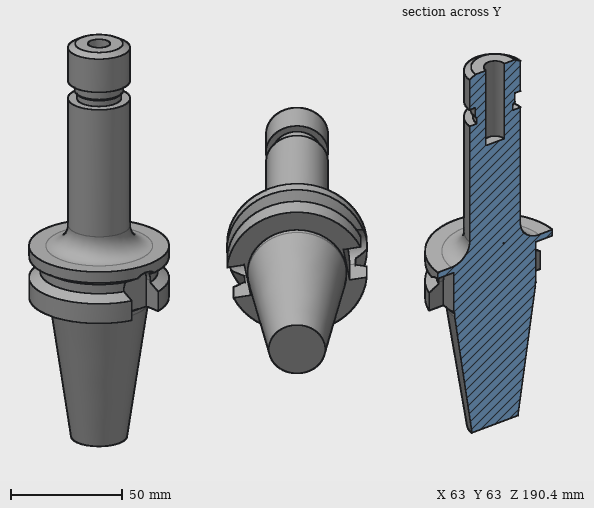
import cadquery as cq
import math


gauge_radius = 44.45 / 2
taper_length = 65.4
taper_slope = 7 / 48
tip_radius = gauge_radius - taper_length * taper_slope

flange_radius = 63 / 2
flange_bottom = 2.0
flange_top = 27.0
groove_center = 16.6
groove_floor_width = 4.4
groove_floor_radius = 53 / 2
groove_wall_angle = 30.0
groove_depth = flange_radius - groove_floor_radius
groove_wall_rise = groove_depth * math.tan(math.radians(groove_wall_angle))
groove_floor_bottom = groove_center - groove_floor_width / 2
groove_floor_top = groove_center + groove_floor_width / 2

key_width = 16.1
key_top = 23.5
key_floor_distance = 22.6

body_radius = 14.0
body_top = 98.5
root_fillet = 10.0

nose_top = 125.0
nut_radius = body_radius
nut_bottom = 107.0
nut_face_radius = 10.75
nut_chamfer_angle = 30.0
nut_chamfer_height = (nut_radius - nut_face_radius) * math.tan(math.radians(nut_chamfer_angle))
collar_radius = 11.0
collar_bottom = 102.3
neck_radius = 10.0
neck_top = collar_bottom - (collar_radius - neck_radius)

bore_radius = 5.0
bore_depth = 40.0


def turned_holder():
    """Revolve the half section of the whole holder about Z."""
    arc_offset = root_fillet * (1 - math.sqrt(0.5))
    arc_middle = (body_radius + arc_offset, flange_top + arc_offset)
    section = (
        cq.Workplane("XZ")
        .moveTo(0, -taper_length)
        .lineTo(tip_radius, -taper_length)
        .lineTo(gauge_radius, 0)
        .lineTo(gauge_radius, flange_bottom)
        .lineTo(flange_radius, flange_bottom)
        .lineTo(flange_radius, groove_floor_bottom - groove_wall_rise)
        .lineTo(groove_floor_radius, groove_floor_bottom)
        .lineTo(groove_floor_radius, groove_floor_top)
        .lineTo(flange_radius, groove_floor_top + groove_wall_rise)
        .lineTo(flange_radius, flange_top)
        .lineTo(body_radius + root_fillet, flange_top)
        .threePointArc(arc_middle, (body_radius, flange_top + root_fillet))
        .lineTo(body_radius, body_top)
        .lineTo(neck_radius, body_top)
        .lineTo(neck_radius, neck_top)
        .lineTo(collar_radius, collar_bottom)
        .lineTo(collar_radius, nut_bottom)
        .lineTo(nut_radius, nut_bottom)
        .lineTo(nut_radius, nose_top - nut_chamfer_height)
        .lineTo(nut_face_radius, nose_top)
        .lineTo(0, nose_top)
        .close()
    )
    return section.revolve(360, (0, 0, 0), (0, 1, 0))


def keyway(side):
    """Round-topped keyway, open at the flange bottom, on the +X (1) or -X (-1) side."""
    half_width = key_width / 2
    arc_start = key_top - half_width
    outline = (
        cq.Workplane("YZ", origin=(side * key_floor_distance, 0, 0))
        .moveTo(-half_width, flange_bottom)
        .lineTo(half_width, flange_bottom)
        .lineTo(half_width, arc_start)
        .threePointArc((0, key_top), (-half_width, arc_start))
        .close()
    )
    return outline.extrude(side * (flange_radius - key_floor_distance))


def tool_bore():
    """Blind bore from the nose face."""
    return cq.Workplane("XY", origin=(0, 0, nose_top - bore_depth)).circle(bore_radius).extrude(bore_depth)


result = turned_holder().cut(tool_bore())
for side in (1, -1):
    result = result.cut(keyway(side))